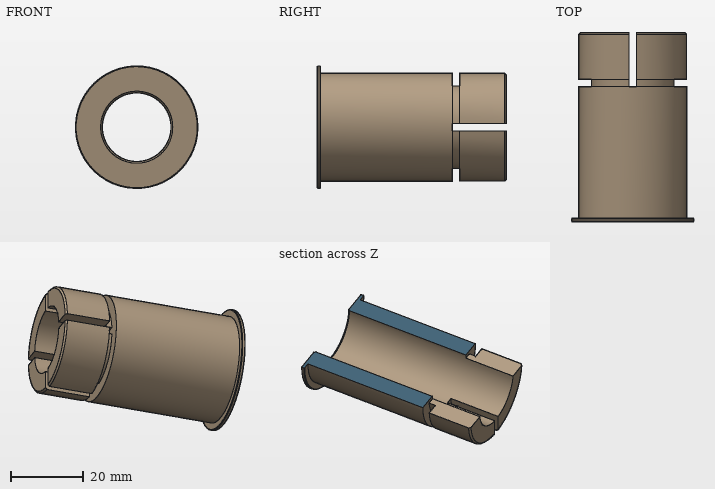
import cadquery as cq

total_length = 52.5
flange_diameter = 34.0
flange_thickness = 1.0
flange_edge_chamfer = 0.2
body_diameter = 30.0
head_length = 13.0
head_chamfer = 0.5
groove_diameter = 23.0
groove_width = 2.0
bore_diameter = 19.0
bore_chamfer = 0.5
slot_width = 2.0

head_start = total_length - head_length
body_end = head_start - groove_width


def cylinder(diameter, start, end):
    """Solid cylinder on the Y axis between two stations."""
    return cq.Workplane("XZ", origin=(0, start, 0)).circle(diameter / 2).extrude(start - end)


def make_sleeve():
    """Flange, body, groove neck and clamping head joined in one row."""
    flange = cylinder(flange_diameter, 0, flange_thickness).edges().chamfer(flange_edge_chamfer)
    body = cylinder(body_diameter, 0, body_end)
    neck = cylinder(groove_diameter, 0, head_start)
    head = cylinder(body_diameter, head_start, total_length).faces(">Y").chamfer(head_chamfer)
    return flange.union(body).union(neck).union(head)


def cut_bore(sleeve):
    """Through bore with a lead-in chamfer at the flange face."""
    bored = sleeve.cut(cylinder(bore_diameter, 0, total_length))
    bore_mouth = bored.faces("<Y").edges(cq.selectors.RadiusNthSelector(0))
    return bore_mouth.chamfer(bore_chamfer)


def cut_cross_slots(sleeve):
    """Two crossed slots split the neck and head into four fingers."""
    slot_length = total_length - body_end
    slot_centre = (0, body_end + slot_length / 2, 0)
    for span_x, span_z in ((flange_diameter, slot_width), (slot_width, flange_diameter)):
        slot = cq.Workplane("XY").box(span_x, slot_length, span_z).translate(slot_centre)
        sleeve = sleeve.cut(slot)
    return sleeve


result = cut_cross_slots(cut_bore(make_sleeve()))